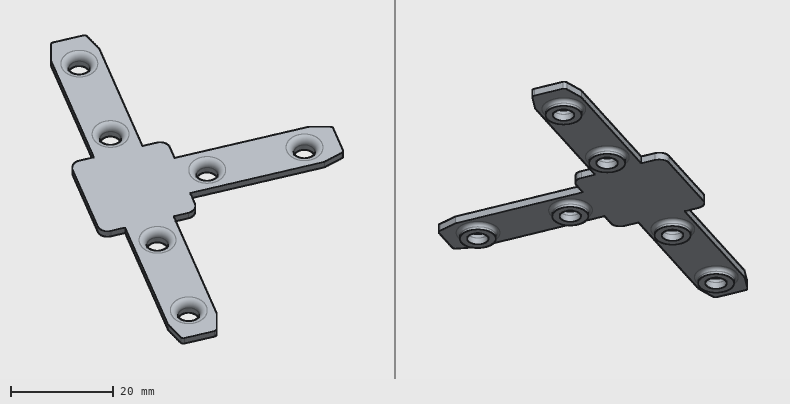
import cadquery as cq


span = 84.0
plate_thickness = 1.6
total_thickness = 3.0
hub_size = 20.0
hub_corner_radius = 2.0

arm_length = span / 2
arm_width = hub_size / 2
tip_taper_length = 4.45
tip_taper_inset = 1.4
tip_corner_radius = 0.7
arm_angles = (0, 90, 180)

hole_pitch = hub_size
outer_hole_distance = 35.0
hole_distances = (outer_hole_distance - hole_pitch, outer_hole_distance)
hole_radius = 2.1
mouth_radius = 3.6
boss_radius = 3.5
boss_flare = 0.75
plate_bottom = -plate_thickness
boss_bottom = -total_thickness


def make_hub():
    """Square hub with rounded corners."""
    hub = cq.Workplane("XY").rect(hub_size, hub_size).extrude(-plate_thickness)
    return hub.edges("|Z").fillet(hub_corner_radius)


def make_arm():
    """Arm along +X with a tapered tip."""
    half_width = arm_width / 2
    taper_start = arm_length - tip_taper_length
    tip_half_width = half_width - tip_taper_inset
    arm = (
        cq.Workplane("XY")
        .moveTo(0, -half_width)
        .lineTo(taper_start, -half_width)
        .lineTo(arm_length, -tip_half_width)
        .lineTo(arm_length, tip_half_width)
        .lineTo(taper_start, half_width)
        .lineTo(0, half_width)
        .close()
        .extrude(-plate_thickness)
    )
    return arm.edges("|Z and >X").fillet(tip_corner_radius)


def make_boss():
    """Round boss under the plate, flaring out where it meets the underside."""
    flare_radius = boss_radius + boss_flare
    return (
        cq.Workplane("XZ")
        .moveTo(0, plate_bottom)
        .lineTo(flare_radius, plate_bottom)
        .radiusArc((boss_radius, plate_bottom - boss_flare), -boss_flare)
        .lineTo(boss_radius, boss_bottom)
        .lineTo(0, boss_bottom)
        .close()
        .revolve(360, (0, 0), (0, 1))
    )


def make_hole():
    """Screw hole whose mouth rolls over in a quarter circle into a straight bore."""
    roll_radius = mouth_radius - hole_radius
    return (
        cq.Workplane("XZ")
        .lineTo(mouth_radius, 0)
        .radiusArc((hole_radius, -roll_radius), -roll_radius)
        .lineTo(hole_radius, boss_bottom)
        .lineTo(0, boss_bottom)
        .close()
        .revolve(360, (0, 0), (0, 1))
    )


def on_arms(shape, distance=0):
    """Copies of a shape at one distance from the centre along every arm."""
    moved = shape.translate((distance, 0, 0))
    return [moved.rotate((0, 0, 0), (0, 0, 1), angle) for angle in arm_angles]


result = make_hub()
for arm in on_arms(make_arm()):
    result = result.union(arm)
for hole_distance in hole_distances:
    for boss in on_arms(make_boss(), hole_distance):
        result = result.union(boss)
for hole_distance in hole_distances:
    for hole in on_arms(make_hole(), hole_distance):
        result = result.cut(hole)